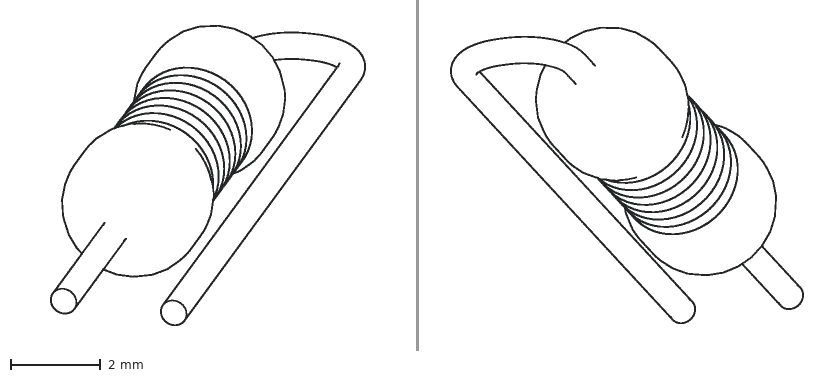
import cadquery as cq
import math

overall_length = 16.1
wire_diameter = 0.6
lead_spacing = 2.55
bend_radius = 1.19

body_middle_y = 9.11
cap_diameter = 3.2
waist_diameter = 2.72
body_half_length = 4.5
dome_start = 3.36
cap_inner_end = 2.55
waist_half_length = 1.61

band_diameter = 2.74
raised_band_count = 4

wire_radius = wire_diameter / 2
cap_radius = cap_diameter / 2
waist_radius = waist_diameter / 2
flare_radius = wire_radius
flare_base_radius = wire_radius + flare_radius
neck_end = body_half_length + flare_radius


def circular_arc_middle(start, end, center):
    """Point halfway along the minor arc between two points about a center."""
    mid_x = (start[0] + end[0]) / 2 - center[0]
    mid_y = (start[1] + end[1]) / 2 - center[1]
    radius = math.dist(start, center)
    length = math.hypot(mid_x, mid_y)
    return (center[0] + mid_x * radius / length, center[1] + mid_y * radius / length)


def end_cap():
    """Upper end of the body beyond the waist, turned about the Y axis; the body middle is at Y = 0."""
    waist_end = (waist_radius, waist_half_length)
    cap_inner = (cap_radius, cap_inner_end)
    shoulder_middle = ((waist_radius + cap_radius) / 2, (waist_half_length + cap_inner_end) / 2)
    dome_base = (cap_radius, dome_start)
    dome_top = (flare_base_radius, body_half_length)
    neck_top = (wire_radius, neck_end)

    step_half = (cap_radius - waist_radius) / 2
    rise_half = (cap_inner_end - waist_half_length) / 2
    shoulder_radius = (step_half**2 + rise_half**2) / (2 * step_half)
    hollow_center = (waist_radius + shoulder_radius, waist_half_length)
    round_center = (cap_radius - shoulder_radius, cap_inner_end)

    dome_width = cap_radius - flare_base_radius
    dome_height = body_half_length - dome_start
    dome_radius = (dome_width**2 + dome_height**2) / (2 * dome_width)
    dome_center = (cap_radius - dome_radius, dome_start)
    flare_center = (flare_base_radius, neck_end)

    return (
        cq.Workplane("XY")
        .moveTo(0, waist_half_length)
        .lineTo(*waist_end)
        .threePointArc(circular_arc_middle(waist_end, shoulder_middle, hollow_center), shoulder_middle)
        .threePointArc(circular_arc_middle(shoulder_middle, cap_inner, round_center), cap_inner)
        .lineTo(*dome_base)
        .threePointArc(circular_arc_middle(dome_base, dome_top, dome_center), dome_top)
        .threePointArc(circular_arc_middle(dome_top, neck_top, flare_center), neck_top)
        .lineTo(0, neck_end)
        .close()
        .revolve(360, (0, 0), (0, 1))
    )


def cylinder_along_y(diameter, start_y, length):
    """Cylinder on the Y axis that grows toward +Y."""
    return cq.Workplane("XZ", origin=(0, start_y, 0)).circle(diameter / 2).extrude(-length)


def resistor_body():
    """Waist between two end caps, with raised colour bands alternating with bare waist."""
    cap = end_cap()
    waist = cylinder_along_y(waist_diameter, -waist_half_length, 2 * waist_half_length)
    body = waist.union(cap).union(cap.mirror("XZ"))
    band_width = 2 * waist_half_length / (2 * raised_band_count - 1)
    for index in range(raised_band_count):
        band_start = -waist_half_length + 2 * index * band_width
        body = body.union(cylinder_along_y(band_diameter, band_start, band_width))
    return body.translate((0, body_middle_y, 0))


def bent_lead():
    """Wire from the top of the body, turned back to run alongside it."""
    crest_y = overall_length - wire_radius
    bend_start_y = crest_y - bend_radius
    neck_end_y = body_middle_y + neck_end
    diagonal = bend_radius * math.sqrt(0.5)
    path = (
        cq.Workplane("XY")
        .moveTo(0, neck_end_y)
        .lineTo(0, bend_start_y)
        .threePointArc((bend_radius - diagonal, bend_start_y + diagonal), (bend_radius, crest_y))
        .lineTo(lead_spacing - bend_radius, crest_y)
        .threePointArc(
            (lead_spacing - bend_radius + diagonal, bend_start_y + diagonal),
            (lead_spacing, bend_start_y),
        )
        .lineTo(lead_spacing, 0)
    )
    return cq.Workplane("XZ", origin=(0, neck_end_y, 0)).circle(wire_radius).sweep(path)


straight_lead = cylinder_along_y(wire_diameter, 0, body_middle_y - neck_end)
result = resistor_body().union(straight_lead).union(bent_lead())